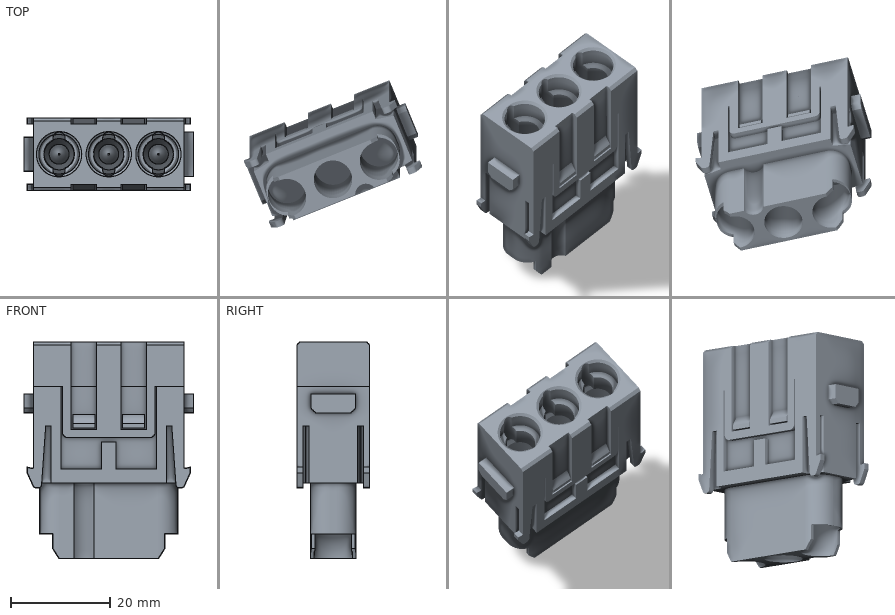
import cadquery as cq

TOTAL_HEIGHT = 43.6
BODY_LENGTH = 30.35
BODY_WIDTH = 14.6
BODY_BOTTOM = 15.17
SEAM = 34.6
POLE_PITCH = 10.0
POLE_POSITIONS = [-POLE_PITCH, 0.0, POLE_PITCH]

HALF_LENGTH = BODY_LENGTH / 2
HALF_WIDTH = BODY_WIDTH / 2
SIDES = [-1, 1]

TOP_CHAMFER = 0.6
ARM_LENGTH = 18.65
ARM_THICKNESS = 1.2
ARM_BOTTOM = 24.35
ARM_CORNER_RADIUS = 1.15
ENTRY_DIAMETER = 8.15
ENTRY_CHAMFER = 0.5
ENTRY_DEPTH = 4.1
ENTRY_CONE_HEIGHT = 0.4
ENTRY_BORE_DIAMETER = 6.0
KEYWAY_WIDTH = 2.45
KEYWAY_REACH = 4.45

SLOT_PITCH = 10.03
SLOT_WIDTH = 5.05
SLOT_DEPTH = ARM_THICKNESS
SLOT_BOTTOM = 25.95

BUMP_WIDTH = 4.45
BUMP_HEIGHT = 1.15
BUMP_BOTTOM = 26.3
BUMP_CREST = 27.2
BUMP_TOP = 29.0

ARM_CLEARANCE = 0.3
RECESS_BOTTOM = 18.05
RIB_WIDTH = 2.9
RIB_TOP = 23.4

LUG_REACH = 17.1
LUG_BOTTOM = 29.3
LUG_TOP = 33.15
LUG_CHAMFER = 0.95
LEFT_LUG_WIDTH = 6.9
RIGHT_LUG_WIDTH = 9.0

HOOK_THICKNESS = 1.25
HOOK_TOP = 26.65
HOOK_BOTTOM = 14.2
HOOK_ROOT = 12.7
HOOK_TIP = 13.55
HOOK_TIP_RADIUS = 0.7
BARB_REACH = 16.4
BARB_TOP = 18.4
BARB_ROOT = 18.25
BARB_VALLEY = 18.2
BARB_VALLEY_REACH = 15.48
BARB_EDGE = 17.22
BARB_FOOT = 15.05
SLIT_INNER = 11.6
SLIT_FLOOR_INNER = 5.6
SLIT_FLOOR_OUTER = 4.93

SHROUD_WIDTH = 9.25
SHROUD_RADIUS = 3.92
SHROUD_LENGTH = 2 * (POLE_PITCH + SHROUD_RADIUS)
SHROUD_BORE_DIAMETER = 7.7
GROOVE_DIAMETER = 4.3
GROOVE_OFFSET = 0.7
NOTCH_HEIGHT = 4.95
NOTCH_POSITION = 11.3
NOTCH_CHAMFER_HEIGHT = 2.05

CONTACT_DIAMETER = 6.0
COLLAR_DIAMETER = 9.0
COLLAR_HEIGHT = 2.2
COLLAR_CHAMFER = 0.52
MOUTH_DIAMETER = 6.3
CONTACT_BOTTOM = BODY_BOTTOM
CONTACT_TOP = SEAM
MOUTH_DEPTH = 1.75
CONE_DIAMETER = 4.0
CONE_HEIGHT = 2.2
CONE_TIP_DIAMETER = 0.3


def block(x_range, y_range, z_range):
    """A box given by its lower and upper limit along each axis."""
    (x0, x1), (y0, y1), (z0, z1) = x_range, y_range, z_range
    return cq.Workplane("XY").box(x1 - x0, y1 - y0, z1 - z0, centered=False).translate((x0, y0, z0))


def face_strip(side, length, depth, z_range, x_centre=0.0):
    """A box of the given depth just under the front (-1) or back (+1) face."""
    y_range = sorted([side * HALF_WIDTH, side * (HALF_WIDTH - depth)])
    return block((x_centre - length / 2, x_centre + length / 2), y_range, z_range)


def in_all_corners(shape):
    """A shape at the right rear corner, together with its mirror images at the other three."""
    pair = shape.union(shape.mirror("YZ"))
    return pair.union(pair.mirror("XZ"))


def latch_slots():
    """The two slots on the front and the two on the back, open at the top."""
    slots = cq.Workplane("XY")
    for side in SIDES:
        for x_sign in SIDES:
            slots = slots.add(
                face_strip(side, SLOT_WIDTH, SLOT_DEPTH, (SLOT_BOTTOM, TOTAL_HEIGHT), x_sign * SLOT_PITCH / 2)
            )
    return slots.combine()


def entry_hole(x_centre):
    """Stepped pole hole with a lead-in chamfer and two opposite keyways."""
    entry_radius = ENTRY_DIAMETER / 2
    bore_radius = ENTRY_BORE_DIAMETER / 2
    shoulder = TOTAL_HEIGHT - ENTRY_DEPTH
    hole = (
        cq.Workplane("XZ")
        .moveTo(0, SEAM)
        .lineTo(bore_radius, SEAM)
        .lineTo(bore_radius, shoulder - ENTRY_CONE_HEIGHT)
        .lineTo(entry_radius, shoulder)
        .lineTo(entry_radius, TOTAL_HEIGHT - ENTRY_CHAMFER)
        .lineTo(entry_radius + ENTRY_CHAMFER, TOTAL_HEIGHT)
        .lineTo(0, TOTAL_HEIGHT)
        .close()
        .revolve(360, (0, 0), (0, 1))
    )
    keyways = (
        cq.Workplane("XY")
        .workplane(offset=SEAM)
        .slot2D(2 * KEYWAY_REACH, KEYWAY_WIDTH, 90)
        .extrude(TOTAL_HEIGHT - SEAM)
    )
    return hole.union(keyways).translate((x_centre, 0, 0))


def make_cap():
    cap = block((-HALF_LENGTH, HALF_LENGTH), (-HALF_WIDTH, HALF_WIDTH), (SEAM, TOTAL_HEIGHT))
    cap = cap.faces(">Z").edges("|X").chamfer(TOP_CHAMFER)
    for side in SIDES:
        arm = face_strip(side, ARM_LENGTH, ARM_THICKNESS, (ARM_BOTTOM, SEAM))
        cap = cap.union(arm.faces("<Z").edges("|Y").fillet(ARM_CORNER_RADIUS))
    cap = cap.cut(latch_slots())
    for x_centre in POLE_POSITIONS:
        cap = cap.cut(entry_hole(x_centre))
    return cap


def make_shroud():
    """Rounded skirt below the body, with a coding groove and notched ends."""
    shroud = cq.Workplane("XY").box(SHROUD_LENGTH, SHROUD_WIDTH, BODY_BOTTOM, centered=(True, True, False))
    shroud = shroud.edges("|Z").fillet(SHROUD_RADIUS)
    groove = (
        cq.Workplane("XY")
        .center(-POLE_PITCH / 2, -SHROUD_WIDTH / 2 - GROOVE_OFFSET)
        .circle(GROOVE_DIAMETER / 2)
        .extrude(BODY_BOTTOM)
    )
    notch = (
        cq.Workplane("XZ")
        .moveTo(POLE_PITCH, 0)
        .lineTo(NOTCH_POSITION, NOTCH_CHAMFER_HEIGHT)
        .lineTo(NOTCH_POSITION, NOTCH_HEIGHT)
        .lineTo(SHROUD_LENGTH, NOTCH_HEIGHT)
        .lineTo(SHROUD_LENGTH, 0)
        .close()
        .extrude(SHROUD_WIDTH / 2, both=True)
    )
    return shroud.cut(groove).cut(notch).cut(notch.mirror("YZ"))


def hook_slit():
    """Corner pocket that frees a hook from the body; its floor slopes slightly."""
    return (
        cq.Workplane("XY")
        .workplane(offset=BODY_BOTTOM)
        .moveTo(SLIT_INNER, HALF_WIDTH)
        .lineTo(SLIT_INNER, SLIT_FLOOR_INNER)
        .lineTo(HALF_LENGTH, SLIT_FLOOR_OUTER)
        .lineTo(HALF_LENGTH, HALF_WIDTH)
        .close()
        .extrude(HOOK_TOP - BODY_BOTTOM)
    )


def hook():
    """Tapered arm with an outward barb and a rounded tip."""
    profile = (
        cq.Workplane("XZ")
        .workplane(offset=-HALF_WIDTH)
        .moveTo(HOOK_ROOT, HOOK_TOP)
        .lineTo(HALF_LENGTH, HOOK_TOP)
        .lineTo(HALF_LENGTH, BARB_ROOT)
        .lineTo(BARB_VALLEY_REACH, BARB_VALLEY)
        .lineTo(BARB_REACH, BARB_TOP)
        .lineTo(BARB_REACH, BARB_EDGE)
        .lineTo(BARB_FOOT, HOOK_BOTTOM)
        .lineTo(HOOK_TIP, HOOK_BOTTOM)
        .close()
        .extrude(HOOK_THICKNESS)
    )
    return profile.faces("<Z").edges("|Y").fillet(HOOK_TIP_RADIUS)


def latch_bump(side, x_centre):
    """Wedge on a slot floor, sloped on top and square below."""
    floor = HALF_WIDTH - SLOT_DEPTH
    crest = floor + BUMP_HEIGHT
    bump = (
        cq.Workplane("YZ")
        .moveTo(floor, BUMP_BOTTOM)
        .lineTo(crest, BUMP_BOTTOM)
        .lineTo(crest, BUMP_CREST)
        .lineTo(floor, BUMP_TOP)
        .close()
        .extrude(BUMP_WIDTH / 2, both=True)
        .translate((x_centre, 0, 0))
    )
    return bump if side > 0 else bump.mirror("XZ")


def lug(side, width):
    """Coding lug on the left (-1) or right (+1) end, with its lower corners cut off."""
    x_range = sorted([side * HALF_LENGTH, side * LUG_REACH])
    shape = block(x_range, (-width / 2, width / 2), (LUG_BOTTOM, LUG_TOP))
    return shape.faces("<Z").edges("|X").chamfer(LUG_CHAMFER)


def make_housing():
    housing = block((-HALF_LENGTH, HALF_LENGTH), (-HALF_WIDTH, HALF_WIDTH), (BODY_BOTTOM, SEAM))
    housing = housing.union(make_shroud())
    housing = housing.cut(in_all_corners(hook_slit())).union(in_all_corners(hook()))

    recess_length = ARM_LENGTH + 2 * ARM_CLEARANCE
    for side in SIDES:
        recess = face_strip(side, recess_length, ARM_THICKNESS, (RECESS_BOTTOM, SEAM))
        rib = face_strip(side, RIB_WIDTH, ARM_THICKNESS, (RECESS_BOTTOM, RIB_TOP))
        housing = housing.cut(recess.cut(rib))
    for side in SIDES:
        for x_sign in SIDES:
            housing = housing.union(latch_bump(side, x_sign * SLOT_PITCH / 2))

    housing = housing.union(lug(-1, LEFT_LUG_WIDTH)).union(lug(1, RIGHT_LUG_WIDTH))

    poles = [(x_centre, 0) for x_centre in POLE_POSITIONS]
    bottom_plane = cq.Workplane("XY").pushPoints(poles)
    housing = housing.cut(bottom_plane.circle(SHROUD_BORE_DIAMETER / 2).extrude(BODY_BOTTOM))
    housing = housing.cut(bottom_plane.circle(CONTACT_DIAMETER / 2).extrude(SEAM))
    collar_plane = cq.Workplane("XY").workplane(offset=CONTACT_TOP - COLLAR_HEIGHT).pushPoints(poles)
    return housing.cut(collar_plane.circle(COLLAR_DIAMETER / 2).extrude(COLLAR_HEIGHT))


def make_contact(x_centre):
    """Round contact with a chamfered collar, a funnel mouth and a blunt cone pointing up."""
    radius = CONTACT_DIAMETER / 2
    collar_radius = COLLAR_DIAMETER / 2
    mouth_floor = CONTACT_TOP - MOUTH_DEPTH
    return (
        cq.Workplane("XZ")
        .moveTo(0, CONTACT_BOTTOM)
        .lineTo(radius, CONTACT_BOTTOM)
        .lineTo(radius, CONTACT_TOP - COLLAR_HEIGHT)
        .lineTo(collar_radius, CONTACT_TOP - COLLAR_HEIGHT)
        .lineTo(collar_radius, CONTACT_TOP - COLLAR_CHAMFER)
        .lineTo(collar_radius - COLLAR_CHAMFER, CONTACT_TOP)
        .lineTo(MOUTH_DIAMETER / 2, CONTACT_TOP)
        .lineTo(CONE_DIAMETER / 2, mouth_floor)
        .lineTo(CONE_TIP_DIAMETER / 2, mouth_floor + CONE_HEIGHT)
        .lineTo(0, mouth_floor + CONE_HEIGHT)
        .close()
        .revolve(360, (0, 0), (0, 1))
        .translate((x_centre, 0, 0))
    )


cap = make_cap()
housing = make_housing()
contacts = [make_contact(x_centre) for x_centre in POLE_POSITIONS]

result = cq.Compound.makeCompound([housing.val(), cap.val(), *[contact.val() for contact in contacts]])